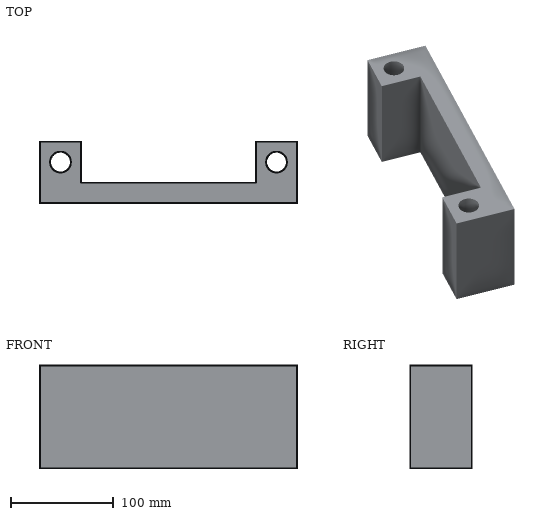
import cadquery as cq

length = 250.0
depth = 60.0
height = 100.0

wall_thickness = 20.0
leg_width = depth - wall_thickness
hole_diameter = 20.0

hole_x = length / 2 - leg_width / 2
hole_y = depth / 2 - leg_width / 2

block = cq.Workplane("XY").box(length, depth, height)

recess = (
    cq.Workplane("XY")
    .box(length - 2 * leg_width, depth - wall_thickness, height)
    .translate((0, wall_thickness / 2, 0))
)

holes = (
    cq.Workplane("XY")
    .workplane(offset=-height / 2)
    .pushPoints([(-hole_x, hole_y), (hole_x, hole_y)])
    .circle(hole_diameter / 2)
    .extrude(height)
)

result = block.cut(recess).cut(holes)